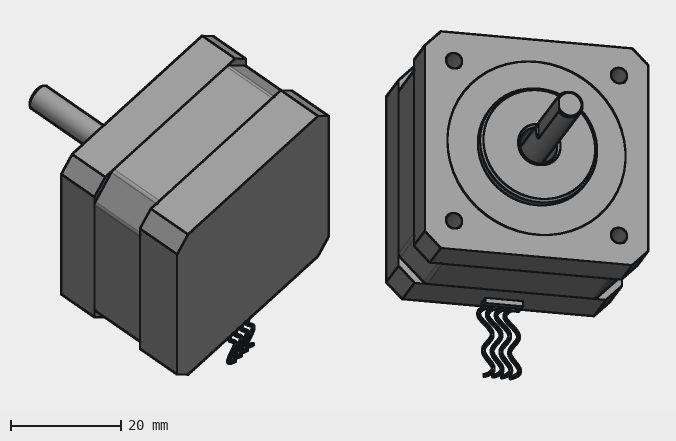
import cadquery as cq

frame_width = 42.0
front_cap_length = 8.0
stator_length = 11.0
rear_cap_length = 9.0
cap_chamfer = 3.0
stator_chamfer = 5.0
stator_edge_radius = 1.0

pilot_diameter = 22.05
pilot_height = 2.0
pilot_chamfer = 0.5
recess_diameter = 33.5
recess_depth = 0.1
bore_diameter = 7.0
bore_chamfer = 0.5
mount_hole_diameter = 3.0
mount_hole_spacing = 31.0

shaft_diameter = 5.0
shaft_reach = 24.0
shaft_tip_chamfer = 0.3
flat_length = 15.0
flat_depth = 0.5

plug_length = 3.0
plug_width = 7.0
plug_height = 1.0
plug_rear_gap = 1.55
wire_count = 4
wire_diameter = 0.5
wire_pitch = 1.65
wire_bends = [(-0.75, -0.2), (1.8, 2.15), (-0.6, 5.5), (1.1, 8.65), (-0.8, 11.8), (0.95, 13.5)]

stator_start = front_cap_length
rear_cap_start = stator_start + stator_length
rear_cap_end = rear_cap_start + rear_cap_length


def cylinder_along_x(diameter, x_start, x_end):
    return cq.Workplane("YZ", origin=(x_start, 0, 0)).circle(diameter / 2).extrude(x_end - x_start)


def square_block(x_start, length, chamfer):
    """Square block along X with its four long edges chamfered."""
    section = cq.Workplane("YZ", origin=(x_start, 0, 0)).rect(frame_width, frame_width)
    block = section.extrude(length)
    return block.edges("|X").chamfer(chamfer)


def make_front_cap():
    cap = square_block(0, front_cap_length, cap_chamfer)
    cap = cap.cut(cylinder_along_x(recess_diameter, 0, recess_depth))
    pilot = cylinder_along_x(pilot_diameter, -pilot_height, recess_depth)
    cap = cap.union(pilot.faces("<X").chamfer(pilot_chamfer))
    cap = cap.cut(cylinder_along_x(bore_diameter, -pilot_height, stator_start))
    bore_rim = cap.faces("<X").edges(cq.selectors.RadiusNthSelector(0))
    cap = bore_rim.chamfer(bore_chamfer)
    mount_holes = (
        cq.Workplane("YZ")
        .rect(mount_hole_spacing, mount_hole_spacing, forConstruction=True)
        .vertices()
        .circle(mount_hole_diameter / 2)
        .extrude(front_cap_length)
    )
    return cap.cut(mount_holes)


def make_stator():
    stator = square_block(stator_start, stator_length, stator_chamfer)
    return stator.edges("|X").fillet(stator_edge_radius)


def make_rear_cap():
    return square_block(rear_cap_start, rear_cap_length, cap_chamfer)


def make_shaft():
    """Shaft reaching through the bore to the stator, with a flat on its +Y side."""
    shaft = cylinder_along_x(shaft_diameter, -shaft_reach, stator_start)
    shaft = shaft.faces("<X").chamfer(shaft_tip_chamfer)
    flat_corner = (-shaft_reach, shaft_diameter / 2 - flat_depth, 0)
    flat_cut = cq.Workplane("XY", origin=flat_corner).box(
        flat_length, flat_depth, shaft_diameter, centered=(False, False, True)
    )
    return shaft.cut(flat_cut)


def make_wire(x, y, z):
    """Wavy wire hanging from (x, y, z), with its bends in a plane across the motor."""
    points = [(side, -drop) for side, drop in wire_bends]
    path = cq.Workplane("YZ", origin=(x, y, z)).spline(points)
    curve = path.val()
    start_plane = cq.Plane(origin=curve.startPoint(), xDir=(1, 0, 0), normal=curve.tangentAt(0))
    return cq.Workplane(start_plane).circle(wire_diameter / 2).sweep(path)


def make_lead():
    plug_x = rear_cap_end - plug_rear_gap - plug_length / 2
    plug_top = -frame_width / 2
    lead = cq.Workplane("XY", origin=(plug_x, 0, plug_top)).rect(plug_length, plug_width).extrude(-plug_height)
    for index in range(wire_count):
        y = (index - (wire_count - 1) / 2) * wire_pitch
        lead = lead.union(make_wire(plug_x, y, plug_top - plug_height))
    return lead


front_cap = make_front_cap()
stator = make_stator()
rear_cap = make_rear_cap()
shaft = make_shaft()
lead = make_lead()

bodies = [front_cap, stator, rear_cap, shaft, lead]
result = cq.Compound.makeCompound([body.val() for body in bodies])